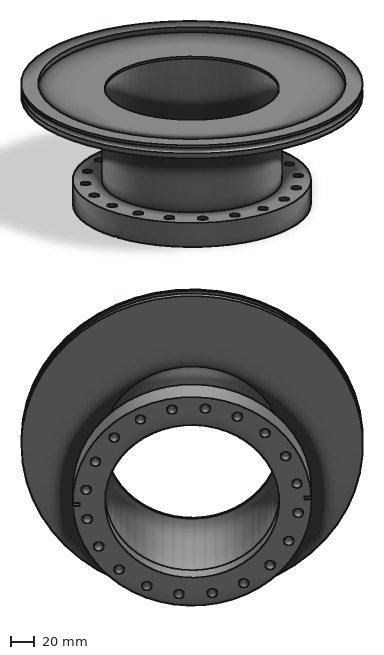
import cadquery as cq

total_height = 110.0

clamp_diameter = 290.0
clamp_thickness = 12.0
clamp_bottom = total_height - clamp_thickness
recess_diameter = 261.0
recess_depth = 4.5
groove_top_drop = 2.46
groove_height = 5.0
groove_corner_radius = 2.3

tube_outer_diameter = 153.0
bore_diameter = 148.0
tube_bottom = 13.0
tube_top_drop = 2.0
tube_top = total_height - recess_depth - tube_top_drop

bolt_flange_diameter = 202.5
bolt_flange_thickness = 22.0
bolt_count = 20
bolt_pitch_angle = 360 / bolt_count
bolt_circle_diameter = 181.2
bolt_hole_diameter = 8.5

notch_angles = (4 * bolt_pitch_angle, 14 * bolt_pitch_angle)
notch_width = 3.0
notch_depth = 1.0
notch_length = 5.8


def disc(diameter, bottom, top):
    """Solid cylinder on the Z axis between two heights."""
    return cq.Workplane("XY").workplane(offset=bottom).circle(diameter / 2).extrude(top - bottom)


def make_tube():
    outside = disc(tube_outer_diameter, tube_bottom, tube_top)
    return outside.cut(disc(bore_diameter, tube_bottom, tube_top))


def make_rim_groove():
    """Ring that cuts the rim groove: its inner corners are quarter rounds joined by a narrow flat."""
    rim = clamp_diameter / 2
    floor = rim - groove_corner_radius
    top = total_height - groove_top_drop
    bottom = top - groove_height
    profile = (
        cq.Workplane("XZ")
        .moveTo(rim, bottom)
        .radiusArc((floor, bottom + groove_corner_radius), groove_corner_radius)
        .lineTo(floor, top - groove_corner_radius)
        .radiusArc((rim, top), groove_corner_radius)
        .close()
    )
    return profile.revolve(360, (0, 0), (0, 1))


def make_clamp_flange():
    flange = disc(clamp_diameter, clamp_bottom, total_height)
    flange = flange.cut(disc(recess_diameter, total_height - recess_depth, total_height))
    flange = flange.cut(disc(bore_diameter, clamp_bottom, total_height))
    flange = flange.cut(disc(tube_outer_diameter, clamp_bottom, tube_top))
    return flange.cut(make_rim_groove())


def make_bolt_flange():
    flange = disc(bolt_flange_diameter, 0, bolt_flange_thickness)
    flange = flange.cut(disc(bore_diameter, 0, bolt_flange_thickness))
    flange = flange.cut(disc(tube_outer_diameter, tube_bottom, bolt_flange_thickness))
    bolt_holes = (
        cq.Workplane("XY")
        .polarArray(bolt_circle_diameter / 2, bolt_pitch_angle / 2, 360, bolt_count)
        .circle(bolt_hole_diameter / 2)
        .extrude(bolt_flange_thickness)
    )
    flange = flange.cut(bolt_holes)
    for angle in notch_angles:
        notch = (
            cq.Workplane("XY")
            .center(bolt_flange_diameter / 2, 0)
            .rect(2 * notch_length, notch_width)
            .extrude(notch_depth)
            .rotate((0, 0, 0), (0, 0, 1), angle)
        )
        flange = flange.cut(notch)
    return flange


clamp_flange = make_clamp_flange()
tube = make_tube()
bolt_flange = make_bolt_flange()

result = cq.Compound.makeCompound([clamp_flange.val(), tube.val(), bolt_flange.val()])